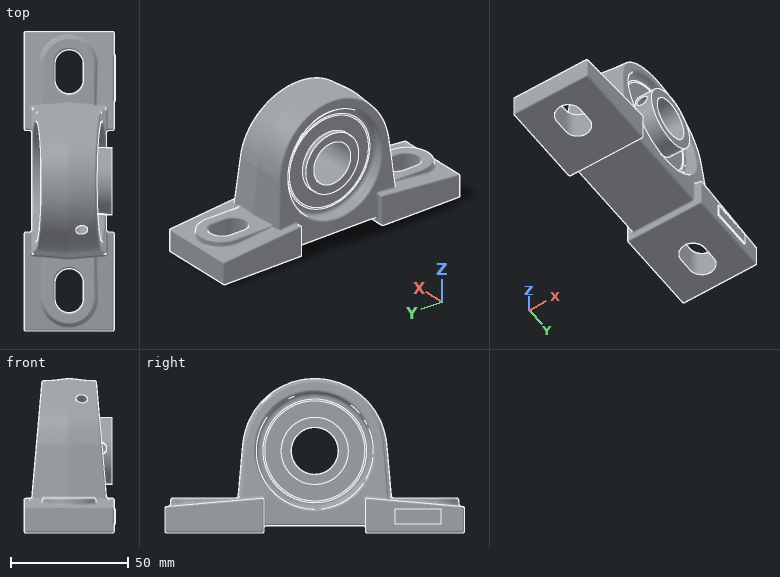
import cadquery as cq
import math


draft = 5.0
edge_round = 0.9
root_round = 1.0

base_length = 127.8
foot_width = 38.5
foot_inner_y = 21.6
foot_end_height = 11.2
foot_slope = 5.0

boss_top_z = 15.0
boss_radius = 11.4
boss_round = 1.0
boss_root_round = 1.2
boss_start_y = 25.5
boss_end_y = 50.0
slot_width = 12.0
slot_inner_y = 43.3
slot_edge_round = 1.0

plate_thickness = 0.5
plate_length = 19.7
plate_height = 6.3
plate_y = 44.0
plate_z = 7.0

axis_z = 35.0
crown_radius = 30.9
crown_ridge_round = 9.5
body_half_width = 16.0
body_bottom_z = 3.1
side_blend_low_z = 11.5
side_blend_high_z = 18.5

recess_radius = 24.9
recess_floor_x = 9.8
recess_floor_round = 1.9
recess_edge_round = 1.2

grease_hole_radius = 2.49
grease_hole_x = 5.4
grease_hole_angle = 47.0

outer_ring_radius = 22.1
outer_ring_inner_radius = 21.3
inner_ring_radius = 14.3
shaft_radius = 10.0
inner_ring_short_x = 12.1
inner_ring_long_x = 18.3
screw_hole_radius = 2.7
screw_hole_end_gap = 5.0
screw_hole_angle = 5.0

half_length = base_length / 2
foot_rise = math.tan(math.radians(foot_slope)) * (half_length - foot_inner_y)
body_top_z = axis_z + crown_radius


def make_foot():
    """The +Y foot: a block whose top falls towards the end."""
    outline = [
        (foot_inner_y, 0),
        (half_length, 0),
        (half_length, foot_end_height),
        (foot_inner_y, foot_end_height + foot_rise),
    ]
    foot = cq.Workplane("YZ").polyline(outline).close().extrude(foot_width / 2, both=True)
    return foot.edges().fillet(edge_round)


def make_boss():
    """The raised flat boss of the +Y foot, running into the housing body."""
    outline = (
        cq.Workplane("XY", origin=(0, 0, boss_top_z))
        .moveTo(boss_radius, boss_start_y)
        .lineTo(boss_radius, boss_end_y)
        .threePointArc((0, boss_end_y + boss_radius), (-boss_radius, boss_end_y))
        .lineTo(-boss_radius, boss_start_y)
        .close()
    )
    boss = outline.extrude(-boss_top_z / 2, taper=-draft)
    return boss.faces(">Z").edges("not <Y").fillet(boss_round)


def make_crown_half(direction):
    """One drafted half of the arched body, from the middle plane to one side."""
    leg_length = axis_z - body_bottom_z
    sine = math.sin(math.radians(draft))
    cosine = math.cos(math.radians(draft))
    tangent_y = crown_radius * cosine
    tangent_z = axis_z + crown_radius * sine
    low_z = body_bottom_z - leg_length / 2
    low_y = tangent_y + (tangent_z - low_z) * math.tan(math.radians(draft))
    return (
        cq.Workplane("YZ")
        .moveTo(-low_y, low_z)
        .lineTo(-tangent_y, tangent_z)
        .threePointArc((0, body_top_z), (tangent_y, tangent_z))
        .lineTo(low_y, low_z)
        .close()
        .extrude(direction * 1.2 * body_half_width, taper=draft)
    )


def make_side_profile():
    """Block with the side shape of the body: vertical below, blended into the draft above."""
    slope = math.tan(math.radians(draft))
    bend_z = (side_blend_low_z + side_blend_high_z) / 2
    top_z = body_top_z + 1.3

    def side_x(z):
        return body_half_width - (z - bend_z) * slope

    right = (
        cq.Workplane("XZ")
        .moveTo(0, body_bottom_z)
        .lineTo(body_half_width, body_bottom_z)
        .lineTo(body_half_width, side_blend_low_z)
        .tangentArcPoint((side_x(side_blend_high_z), side_blend_high_z), relative=False)
        .lineTo(side_x(top_z), top_z)
        .lineTo(0, top_z)
        .close()
        .extrude(base_length / 2, both=True)
    )
    return right.union(right.mirror("YZ"))


def box_selector(x_range, y_range, z_range):
    """Selects what lies wholly inside a box."""
    corners = list(zip(x_range, y_range, z_range))
    return cq.selectors.BoxSelector(corners[0], corners[1], boundingbox=True)


def make_body():
    """The arched body with its ridge, rims and bottom side edges rounded."""
    ridge = cq.selectors.BoxSelector((-0.1, -63.9, 6.4), (0.1, 63.9, 76.7))
    crown = make_crown_half(1).union(make_crown_half(-1))
    crown = crown.edges(ridge).fillet(crown_ridge_round)
    body = crown.intersect(make_side_profile())
    for side in ((10.2, 16.6), (-16.6, -10.2)):
        rim = body.edges(box_selector(side, (-51.1, 51.1), (0, 76.7))).edges("(not |Y) or <Z")
        body = rim.fillet(edge_round)
    return body


def make_slotted_foot_blank():
    """The +Y foot with its boss and the rounded corner between them, without the slot."""
    foot = make_foot().union(make_boss())
    boss_root = foot.edges(box_selector((-12.8, 12.8), (23, 62.6), (10.9, boss_top_z - 0.06)))
    return boss_root.edges("not |X").fillet(boss_root_round)


def make_side_plate():
    """Plate raised from the +X side of the +Y foot."""
    return cq.Workplane("XY").box(2 * plate_thickness, plate_length, plate_height).translate(
        (foot_width / 2, plate_y, plate_z)
    )


def cut_slot(housing, side):
    """Cut the bolt slot through the foot on one side (+1 or -1 along Y) and round its rim."""
    centre_y = side * (slot_inner_y + boss_end_y) / 2
    slot_length = boss_end_y - slot_inner_y + slot_width
    slot = cq.Workplane("XY").center(0, centre_y).slot2D(slot_length, slot_width, 90).extrude(boss_top_z)
    housing = housing.cut(slot)
    y_range = sorted((side * 35.8, side * 57.5))
    rim = housing.edges(box_selector((-6.4, 6.4), y_range, (boss_top_z - 0.1, boss_top_z + 0.1)))
    return rim.fillet(slot_edge_round)


def cut_recess(housing, side):
    """Cut the round recess into the +X (side 1) or -X (side -1) face of the housing."""
    cutter = cq.Workplane("YZ", origin=(recess_floor_x, 0, axis_z)).circle(recess_radius).extrude(base_length)
    cutter = cutter.faces("<X").edges().fillet(recess_floor_round)
    if side < 0:
        cutter = cutter.mirror("YZ")
    housing = housing.cut(cutter)
    x_range = sorted((side * 11.5, side * 17.9))
    reach = recess_radius + 0.1
    rim = housing.edges(box_selector(x_range, (-reach, reach), (axis_z - reach, axis_z + reach)))
    return rim.fillet(recess_edge_round)


def x_cylinder(radius, start_x, end_x):
    """Cylinder on the shaft axis."""
    return cq.Workplane("YZ", origin=(start_x, 0, axis_z)).circle(radius).extrude(end_x - start_x)


def radial_hole(radius, x, angle):
    """Cylinder from the shaft axis outwards, at an angle above the -Y direction."""
    turn = math.radians(angle)
    direction = cq.Vector(0, -math.cos(turn), math.sin(turn))
    return cq.Workplane(cq.Solid.makeCylinder(radius, crown_radius + 6.4, cq.Vector(x, 0, axis_z), direction))


def make_housing():
    foot = make_slotted_foot_blank()
    housing = make_body().union(foot).union(foot.mirror("XZ"))
    for side_y in ((20.5, 35.8), (-35.8, -20.5)):
        half = body_half_width + 0.1
        root = housing.edges(box_selector((-half, half), side_y, (1.3, 16.6)))
        housing = root.fillet(root_round)
    for side in (1, -1):
        housing = cut_slot(housing, side)
        housing = cut_recess(housing, side)
    housing = housing.cut(x_cylinder(outer_ring_radius, -base_length, base_length))
    housing = housing.cut(radial_hole(grease_hole_radius, grease_hole_x, grease_hole_angle))
    return housing.union(make_side_plate())


def make_washer(outer_radius, inner_radius, start_x, end_x):
    """Ring on the shaft axis."""
    return x_cylinder(outer_radius, start_x, end_x).cut(x_cylinder(inner_radius, start_x, end_x))


def make_inner_ring():
    ring = make_washer(inner_ring_radius, shaft_radius, -inner_ring_short_x, inner_ring_long_x)
    return ring.cut(radial_hole(screw_hole_radius, inner_ring_long_x - screw_hole_end_gap, screw_hole_angle))


housing = make_housing()
outer_ring = make_washer(outer_ring_radius, outer_ring_inner_radius, -recess_floor_x, recess_floor_x)
seal = make_washer(outer_ring_inner_radius, inner_ring_radius, -recess_floor_x, recess_floor_x)
inner_ring = make_inner_ring()

result = cq.Compound.makeCompound([housing.val(), outer_ring.val(), seal.val(), inner_ring.val()])